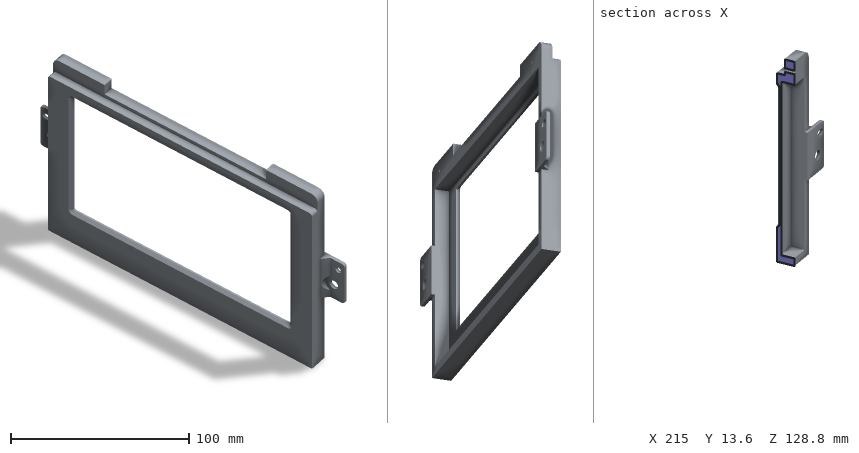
import cadquery as cq

FRAME_WIDTH = 186.8
FRAME_HEIGHT = 128.75
FRAME_DEPTH = 11.5
HALF_WIDTH = FRAME_WIDTH / 2

STEP_DEPTH = 5.0
STEP_Z = FRAME_HEIGHT - 9.8
STEP_CORNER_RADIUS = 2.0
TAB_CORNER_RADIUS = 4.5
NOTCH_WIDTH = 114.0
NOTCH_Z = FRAME_HEIGHT - 7.15

FRONT_WALL = 3.0
WINDOW_WIDTH = 153.5
WINDOW_BOTTOM_Z = 23.5
WINDOW_TOP_Z = 110.5
WINDOW_CORNER_RADIUS = 0.85
BEVEL_SIZE = 2.0

SIDE_WALL = 5.0
POCKET_BOTTOM_Z = SIDE_WALL
POCKET_TOP_Z = STEP_Z - SIDE_WALL

TAB_HOLE_DIAMETER = 2.0
TAB_HOLE_X_POSITIONS = (-77.0, 80.0)
TAB_HOLE_Z = 122.0
TAB_HOLE_FLOOR = 0.5

OVERALL_WIDTH = 215.0
EAR_THICKNESS = 2.05
EAR_OVERLAP = 5.0
EAR_BOTTOM_Z = 49.2
EAR_HEIGHT = 30.0
EAR_CORNER_RADIUS = 2.0
BRACE_SIZE = 4.1
SCREW_X = 100.0
SCREW_Z = 60.0
SCREW_DIAMETER = 6.0
SCREW_CLEARANCE_DIAMETER = 12.0
PIN_X = 103.0
PIN_Z = 73.0
PIN_DIAMETER = 4.0
PIN_SLOT_LENGTH = 6.0


def box(x_min, x_max, y_min, y_max, z_min, z_max):
    """Block between the given limits."""
    block = cq.Workplane("XY").box(x_max - x_min, y_max - y_min, z_max - z_min, centered=False)
    return block.translate((x_min, y_min, z_min))


def cylinder_along_y(x, z, diameter, y_min, y_max):
    """Round bar parallel to Y."""
    bar = cq.Workplane("XZ").circle(diameter / 2).extrude(y_min - y_max)
    return bar.translate((x, y_min, z))


def make_frame_block():
    """Front slab and taller rear slab, with the notch between the two tabs."""
    front = box(-HALF_WIDTH, HALF_WIDTH, 0, STEP_DEPTH, 0, STEP_Z)
    front = front.edges("|Y and >Z").fillet(STEP_CORNER_RADIUS)
    rear = box(-HALF_WIDTH, HALF_WIDTH, STEP_DEPTH, FRAME_DEPTH, 0, FRAME_HEIGHT)
    rear = rear.edges("|Y and >Z").fillet(TAB_CORNER_RADIUS)
    notch = box(-NOTCH_WIDTH / 2, NOTCH_WIDTH / 2, 0, FRAME_DEPTH, NOTCH_Z, FRAME_HEIGHT)
    return front.union(rear).cut(notch)


def make_pocket():
    """Recess behind the front wall, open at the back."""
    half_pocket = HALF_WIDTH - SIDE_WALL
    return box(-half_pocket, half_pocket, FRONT_WALL, FRAME_DEPTH, POCKET_BOTTOM_Z, POCKET_TOP_Z)


def cut_window(body):
    """Cut the window through the front wall and bevel its front rim."""
    half_window = WINDOW_WIDTH / 2
    opening = box(-half_window, half_window, 0, FRONT_WALL, WINDOW_BOTTOM_Z, WINDOW_TOP_Z)
    opening = opening.edges("|Y").fillet(WINDOW_CORNER_RADIUS)
    body = body.cut(opening)
    front_rim = body.faces("<Y").val().innerWires()[0]
    return body.newObject(front_rim.Edges()).chamfer(BEVEL_SIZE)


def cut_tab_holes(body):
    """Drill the blind tab holes from the back, leaving a thin floor in front."""
    floor_y = STEP_DEPTH + TAB_HOLE_FLOOR
    for x in TAB_HOLE_X_POSITIONS:
        hole = cylinder_along_y(x, TAB_HOLE_Z, TAB_HOLE_DIAMETER, floor_y, FRAME_DEPTH)
        body = body.cut(hole)
    return body


def make_ear(side, pin_hole):
    """Ear with its brace; side is -1 for the -X ear and 1 for the +X ear."""
    inner_x = HALF_WIDTH - EAR_OVERLAP
    outer_x = OVERALL_WIDTH / 2
    plate_back = FRAME_DEPTH + EAR_THICKNESS
    ear_top_z = EAR_BOTTOM_Z + EAR_HEIGHT
    plate = box(inner_x, outer_x, FRAME_DEPTH, plate_back, EAR_BOTTOM_Z, ear_top_z)
    plate = plate.edges("|Y and >X").fillet(EAR_CORNER_RADIUS)

    brace = (
        cq.Workplane("XY")
        .moveTo(HALF_WIDTH, FRAME_DEPTH)
        .lineTo(HALF_WIDTH + BRACE_SIZE, FRAME_DEPTH)
        .lineTo(HALF_WIDTH, FRAME_DEPTH - BRACE_SIZE)
        .close()
        .extrude(EAR_HEIGHT)
        .translate((0, 0, EAR_BOTTOM_Z))
    )
    screw_clearance = cylinder_along_y(SCREW_X, SCREW_Z, SCREW_CLEARANCE_DIAMETER, 0, FRAME_DEPTH)
    brace = brace.cut(screw_clearance)

    ear = plate.union(brace)
    ear = ear.cut(cylinder_along_y(SCREW_X, SCREW_Z, SCREW_DIAMETER, FRAME_DEPTH, plate_back))
    ear = ear.cut(pin_hole.translate((PIN_X, FRAME_DEPTH, PIN_Z)))
    return ear if side > 0 else ear.mirror("YZ")


round_pin_hole = cq.Workplane("XZ").circle(PIN_DIAMETER / 2).extrude(-EAR_THICKNESS)
slotted_pin_hole = cq.Workplane("XZ").slot2D(PIN_SLOT_LENGTH, PIN_DIAMETER).extrude(-EAR_THICKNESS)

body = make_frame_block().cut(make_pocket())
body = cut_window(body)
body = cut_tab_holes(body)
result = body.union(make_ear(-1, slotted_pin_hole)).union(make_ear(1, round_pin_hole))